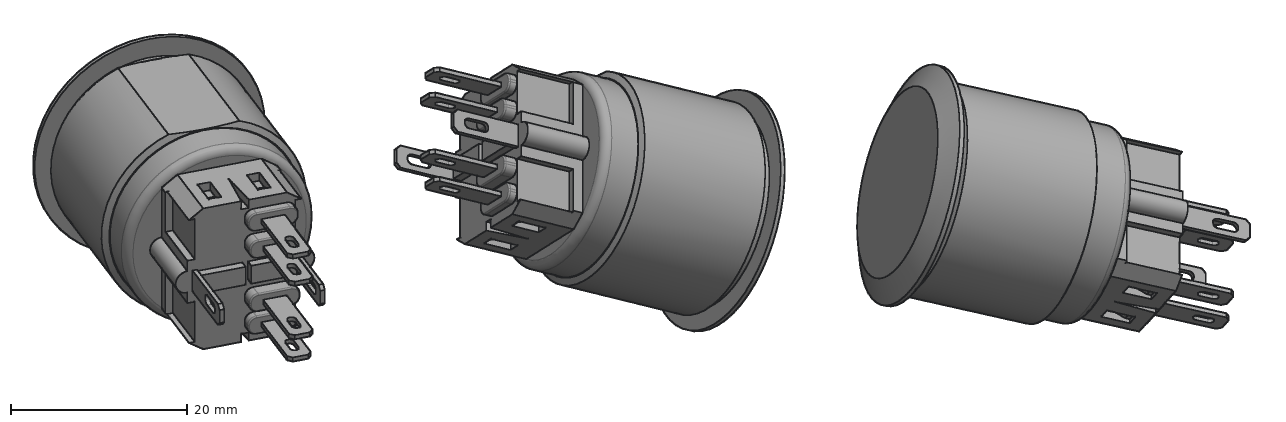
import cadquery as cq


OVERALL_LENGTH = 42.8

BEZEL_RADIUS = 14.0
FACE_RADIUS = 11.15
BEZEL_CONE_LENGTH = 1.45
BEZEL_LENGTH = 2.0

HOUSING_RADIUS = 11.55
HOUSING_END = 24.2
HOUSING_FILLET = 1.03

SLEEVE_START = 2.8
SLEEVE_END = 19.6
SLEEVE_RADIUS = 12.45
SLEEVE_END_RADIUS = 11.65
SLEEVE_BEVEL = 0.35
SLEEVE_FLAT_Z = 11.7

BLOCK_END = 32.4
BLOCK_LENGTH = BLOCK_END - HOUSING_END
BLOCK_HALF_WIDTH = 7.0
BLOCK_HALF_HEIGHT = 9.25
BLOCK_TOP_HALF_WIDTH = 5.1
BLOCK_SIDE_HALF_HEIGHT = 7.9
SIDE_RIB_RADIUS = 1.4

RECESS_START = 25.42
RECESS_DEPTH = 0.9
RECESS_INNER_Z = 2.8
RECESS_OUTER_Z = 8.05

WINDOW_START = 27.1
WINDOW_END = 30.65
WINDOW_WIDTH = 1.55
WINDOW_Y = 3.0
WINDOW_DEPTH = 1.05
LATCH_DEPTH = 0.5
LATCH_RAMP_START = 28.65
LATCH_RAMP_END = 30.1

NOTCH_START = WINDOW_START
NOTCH_HALF_WIDTH = 0.45
NOTCH_DEPTH = 1.05

BLADE_THICKNESS = 0.55
BLADE_CORNER = 0.5
SLOT_TIP_GAP = 1.45
FLAT_BLADE_Y = 3.0
FLAT_BLADE_WIDTH = 2.85
FLAT_SLOT_LENGTH = 2.53
FLAT_SLOT_WIDTH = 1.03
INNER_BLADE_Z = 3.5
INNER_BLADE_TIP = OVERALL_LENGTH
OUTER_BLADE_Z = 6.75
OUTER_BLADE_TIP = 42.2
SIDE_BLADE_Y = 6.1
SIDE_BLADE_TIP = 41.05
SIDE_BLADE_WIDTH = 2.75
SIDE_SLOT_LENGTH = 3.15
SIDE_SLOT_WIDTH = 1.25

COLLAR_WIDTH = 6.1
COLLAR_HEIGHT = 2.35
COLLAR_CORNER_RADIUS = 1.03
COLLAR_EDGE_FILLET = 0.15
INNER_COLLAR_END = 34.03
OUTER_COLLAR_END = 33.45
SIDE_PAD_INNER_Y = 0.35


def box(x_range, y_range, z_range):
    """Axis-aligned box between pairs of limits."""
    (x0, x1), (y0, y1), (z0, z1) = x_range, y_range, z_range
    return cq.Workplane("XY").box(x1 - x0, y1 - y0, z1 - z0, centered=False).translate((x0, y0, z0))


def revolve_about_x(profile):
    """Solid of revolution from (x, radius) points."""
    return cq.Workplane("XY").polyline(profile).close().revolve(360, (0, 0, 0), (1, 0, 0))


def make_body():
    """Bezel, round housing and flatted sleeve."""
    bezel = revolve_about_x([
        (0, 0),
        (0, FACE_RADIUS),
        (BEZEL_CONE_LENGTH, BEZEL_RADIUS),
        (BEZEL_LENGTH, BEZEL_RADIUS),
        (BEZEL_LENGTH, 0),
    ])
    housing = cq.Workplane("YZ").workplane(offset=BEZEL_LENGTH).circle(HOUSING_RADIUS)
    housing = housing.extrude(HOUSING_END - BEZEL_LENGTH).faces(">X").edges().fillet(HOUSING_FILLET)
    sleeve = revolve_about_x([
        (SLEEVE_START, 0),
        (SLEEVE_START, SLEEVE_END_RADIUS),
        (SLEEVE_START + SLEEVE_BEVEL, SLEEVE_RADIUS),
        (SLEEVE_END - SLEEVE_BEVEL, SLEEVE_RADIUS),
        (SLEEVE_END, SLEEVE_END_RADIUS),
        (SLEEVE_END, 0),
    ])
    above_flat = box(
        (SLEEVE_START, SLEEVE_END),
        (-SLEEVE_RADIUS, SLEEVE_RADIUS),
        (SLEEVE_FLAT_Z, SLEEVE_RADIUS),
    )
    return bezel.union(housing).union(sleeve.cut(above_flat))


def make_window(y):
    """Cutter for one top window, leaving a ramped latch on its floor."""
    floor_z = BLOCK_HALF_HEIGHT - WINDOW_DEPTH
    latch_z = BLOCK_HALF_HEIGHT - LATCH_DEPTH
    profile = [
        (WINDOW_START, BLOCK_HALF_HEIGHT),
        (WINDOW_START, floor_z),
        (LATCH_RAMP_START, floor_z),
        (LATCH_RAMP_END, latch_z),
        (WINDOW_END, latch_z),
        (WINDOW_END, BLOCK_HALF_HEIGHT),
    ]
    window = cq.Workplane("XZ").polyline(profile).close().extrude(WINDOW_WIDTH / 2, both=True)
    return window.translate((0, y, 0))


def make_notch():
    """Cutter for the top notch, widening toward the rear of the block."""
    outline = [(NOTCH_START, 0), (BLOCK_END, NOTCH_HALF_WIDTH), (BLOCK_END, -NOTCH_HALF_WIDTH)]
    notch = cq.Workplane("XY").workplane(offset=BLOCK_HALF_HEIGHT - NOTCH_DEPTH)
    return notch.polyline(outline).close().extrude(NOTCH_DEPTH)


def make_block():
    """Octagonal contact block with side ribs, recesses, windows and notches."""
    section = [
        (BLOCK_TOP_HALF_WIDTH, BLOCK_HALF_HEIGHT),
        (BLOCK_HALF_WIDTH, BLOCK_SIDE_HALF_HEIGHT),
        (BLOCK_HALF_WIDTH, -BLOCK_SIDE_HALF_HEIGHT),
        (BLOCK_TOP_HALF_WIDTH, -BLOCK_HALF_HEIGHT),
        (-BLOCK_TOP_HALF_WIDTH, -BLOCK_HALF_HEIGHT),
        (-BLOCK_HALF_WIDTH, -BLOCK_SIDE_HALF_HEIGHT),
        (-BLOCK_HALF_WIDTH, BLOCK_SIDE_HALF_HEIGHT),
        (-BLOCK_TOP_HALF_WIDTH, BLOCK_HALF_HEIGHT),
    ]
    rear = cq.Workplane("YZ").workplane(offset=HOUSING_END)
    block = rear.polyline(section).close().extrude(BLOCK_LENGTH)
    ribs = rear.pushPoints([(-BLOCK_HALF_WIDTH, 0), (BLOCK_HALF_WIDTH, 0)])
    block = block.union(ribs.circle(SIDE_RIB_RADIUS).extrude(BLOCK_LENGTH))

    recess = box(
        (RECESS_START, BLOCK_END),
        (BLOCK_HALF_WIDTH - RECESS_DEPTH, BLOCK_HALF_WIDTH),
        (RECESS_INNER_Z, RECESS_OUTER_Z),
    )
    recesses = recess.union(recess.mirror("XZ"))
    top_cuts = make_notch().union(make_window(WINDOW_Y)).union(make_window(-WINDOW_Y))
    cuts = recesses.union(top_cuts)
    return block.cut(cuts).cut(cuts.mirror("XY"))


def make_blade(tip_x, width, slot_length, slot_width):
    """Flat terminal in the XY plane, centred on the X axis, with an eyelet slot."""
    length = tip_x - BLOCK_END
    slot_x = tip_x - SLOT_TIP_GAP - slot_length / 2
    blade = cq.Workplane("XY").box(length, width, BLADE_THICKNESS).translate((tip_x - length / 2, 0, 0))
    blade = blade.edges(">X and |Z").chamfer(BLADE_CORNER)
    slot = cq.Workplane("XY").center(slot_x, 0).slot2D(slot_length, slot_width)
    return blade.cut(slot.extrude(BLADE_THICKNESS, both=True))


def make_flat_terminal(z, blade_tip, collar_end):
    """Horizontal blade rising out of a rounded collar."""
    length = collar_end - BLOCK_END
    collar = cq.Workplane("XY").box(length, COLLAR_WIDTH, COLLAR_HEIGHT)
    collar = collar.edges("|X").fillet(COLLAR_CORNER_RADIUS)
    collar = collar.faces(">X").edges().fillet(COLLAR_EDGE_FILLET)
    collar = collar.translate((BLOCK_END + length / 2, 0, 0))
    blade = make_blade(blade_tip, FLAT_BLADE_WIDTH, FLAT_SLOT_LENGTH, FLAT_SLOT_WIDTH)
    return collar.union(blade).translate((0, FLAT_BLADE_Y, z))


def make_side_terminal():
    """Upright blade on the +Y side, backed by a rectangular pad."""
    blade = make_blade(SIDE_BLADE_TIP, SIDE_BLADE_WIDTH, SIDE_SLOT_LENGTH, SIDE_SLOT_WIDTH)
    blade = blade.rotate((0, 0, 0), (1, 0, 0), 90).translate((0, SIDE_BLADE_Y, 0))
    pad = box(
        (BLOCK_END, OUTER_COLLAR_END),
        (SIDE_PAD_INNER_Y, SIDE_BLADE_Y),
        (-COLLAR_HEIGHT / 2, COLLAR_HEIGHT / 2),
    )
    return blade.union(pad)


result = make_body().union(make_block())

for side in (-1, 1):
    result = result.union(make_flat_terminal(side * INNER_BLADE_Z, INNER_BLADE_TIP, INNER_COLLAR_END))
    result = result.union(make_flat_terminal(side * OUTER_BLADE_Z, OUTER_BLADE_TIP, OUTER_COLLAR_END))

side_terminal = make_side_terminal()
result = result.union(side_terminal).union(side_terminal.mirror("XZ"))